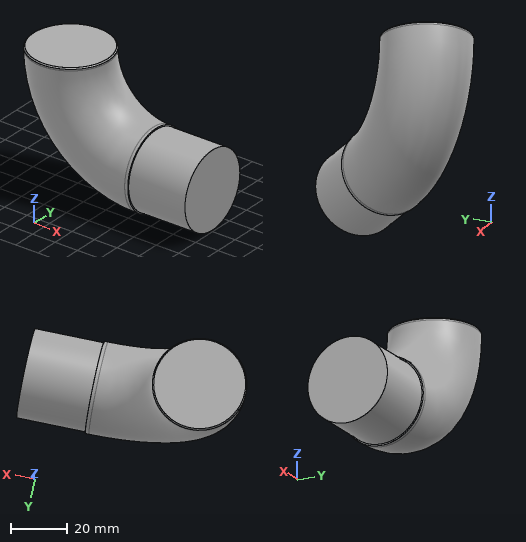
import cadquery as cq

overall_length = 79.95
pipe_diameter = 33.7
pipe_radius = pipe_diameter / 2
bend_radius = 36.7

inlet_length = 1.1
outlet_length = 1.35
inlet_chamfer = 0.5

spigot_diameter = 32.55

shoulder_x = bend_radius + outlet_length
spigot_length = overall_length - pipe_radius - shoulder_x


def make_bend():
    """Quarter-turn solid bend from the horizontal outlet up to the inlet."""
    return (
        cq.Workplane("XY", origin=(0, 0, bend_radius))
        .circle(pipe_radius)
        .revolve(90, (bend_radius, 0, 0), (bend_radius, -1, 0))
    )


def make_inlet():
    """Short vertical collar with a chamfered mouth edge."""
    return (
        cq.Workplane("XY", origin=(0, 0, bend_radius))
        .circle(pipe_radius)
        .extrude(inlet_length)
        .faces(">Z")
        .edges()
        .chamfer(inlet_chamfer)
    )


def make_outlet():
    """Short full-diameter collar ending at the spigot shoulder."""
    return cq.Workplane("YZ", origin=(bend_radius, 0, 0)).circle(pipe_radius).extrude(outlet_length)


def make_spigot():
    """Reduced straight spigot along X."""
    return cq.Workplane("YZ", origin=(shoulder_x, 0, 0)).circle(spigot_diameter / 2).extrude(spigot_length)


result = make_bend().union(make_inlet()).union(make_outlet()).union(make_spigot())